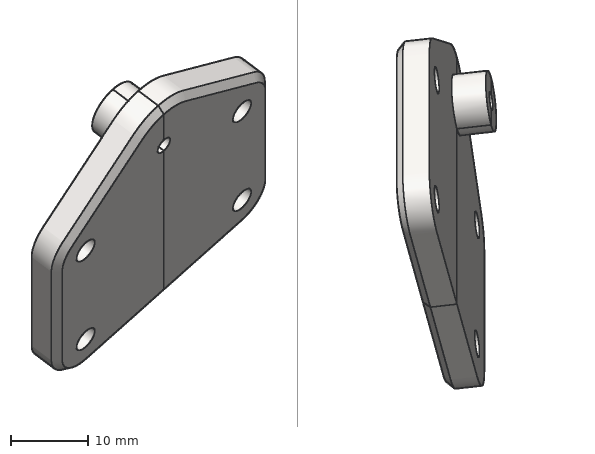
import cadquery as cq
import math

plate_thickness = 4.5
edge_chamfer = 1.0

mount_hole_diameter = 3.5
mount_spacing_y = 30.0
mount_spacing_z = 20.0
mount_y = mount_spacing_y / 2

boss_diameter = 8.0
boss_length = 4.5
boss_bore_diameter = 2.4
boss_rise = 8.0
boss_z = mount_spacing_z + boss_rise

corner_radius = 5.5
top_radius = 8.0
side_y = mount_y + corner_radius
bottom_z = -corner_radius
top_z = boss_z + top_radius

radius_step = top_radius - corner_radius
center_distance = math.hypot(mount_y, boss_rise)
slope_angle = math.atan2(boss_rise, mount_y) + math.asin(radius_step / center_distance)

boss_end_x = -boss_length
through_length = boss_length + plate_thickness


def arc_point(center_y, center_z, radius, angle):
    """Point on an arc, with the angle measured from +Z toward +Y."""
    return (center_y + radius * math.sin(angle), center_z + radius * math.cos(angle))


def half_outline():
    """Closed outline of the +Y half, with its straight edge on the plane Y = 0."""
    slope_to_side = (slope_angle + math.pi / 2) / 2
    corner_middle = 3 * math.pi / 4
    return (
        cq.Workplane("YZ")
        .moveTo(0, bottom_z)
        .lineTo(0, top_z)
        .threePointArc(
            arc_point(0, boss_z, top_radius, slope_angle / 2),
            arc_point(0, boss_z, top_radius, slope_angle),
        )
        .lineTo(*arc_point(mount_y, mount_spacing_z, corner_radius, slope_angle))
        .threePointArc(
            arc_point(mount_y, mount_spacing_z, corner_radius, slope_to_side),
            (side_y, mount_spacing_z),
        )
        .lineTo(side_y, 0)
        .threePointArc(
            arc_point(mount_y, 0, corner_radius, corner_middle),
            (mount_y, bottom_z),
        )
        .close()
    )


def half_plate():
    """Half plate, its outer rim chamfered on the +X face but not along the split."""
    plate = half_outline().extrude(plate_thickness)
    return plate.faces(">X").edges("not <Y").chamfer(edge_chamfer)


def half_boss():
    """Half cylinder of the boss on the +Y side."""
    radius = boss_diameter / 2
    return (
        cq.Workplane("YZ")
        .moveTo(0, boss_z - radius)
        .lineTo(0, boss_z + radius)
        .threePointArc((radius, boss_z), (0, boss_z - radius))
        .close()
        .extrude(-boss_length)
    )


def through_holes():
    """Cutters for the boss bore and the two mounting holes of one half."""
    bore = (
        cq.Workplane("YZ", origin=(boss_end_x, 0, boss_z))
        .circle(boss_bore_diameter / 2)
        .extrude(through_length)
    )
    mounting = (
        cq.Workplane("YZ", origin=(boss_end_x, 0, 0))
        .pushPoints([(mount_y, 0), (mount_y, mount_spacing_z)])
        .circle(mount_hole_diameter / 2)
        .extrude(through_length)
    )
    return bore.vals() + mounting.vals()


def bracket_half():
    """One half of the bracket, on the +Y side of the split plane."""
    half = half_plate().union(half_boss())
    for cutter in through_holes():
        half = half.cut(cq.Workplane(cutter))
    return half


left_half = bracket_half()
right_half = left_half.mirror("XZ")

result = cq.Compound.makeCompound([*left_half.solids().vals(), *right_half.solids().vals()])